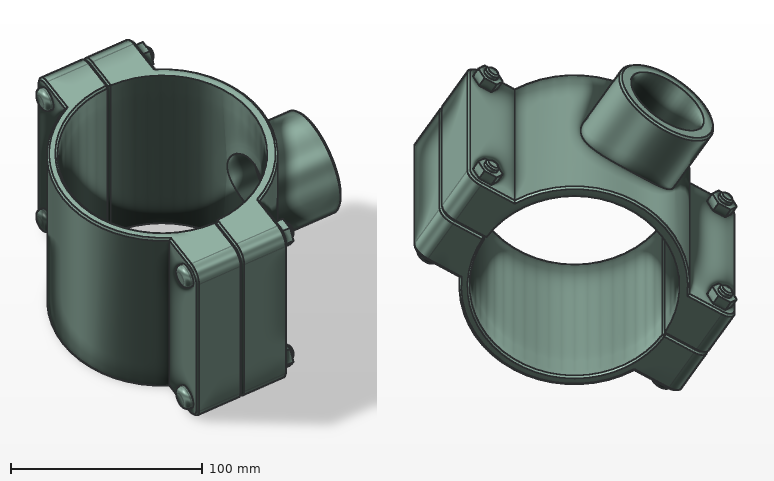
import cadquery as cq
import math

clamp_width = 165.0
clamp_height = 116.0
ring_radius = 60.4
bore_radius = 55.0
flange_depth = 27.4
corner_radius = 8.2
edge_chamfer = 1.2

branch_diameter = 58.2
branch_end = 92.0
hole_diameter = 40.0
socket_diameter = 44.9
socket_floor = 67.3

screw_x = 72.1
screw_z = 47.5
screw_diameter = 8.0
screw_tip_length = 2.8
screw_tip_chamfer = 1.0
head_diameter = 13.0
head_height = 4.3
head_round = 3.0
nut_across_flats = 13.0
nut_height = 5.5


def cylinder_y(diameter, y_start, y_end, x=0.0, z=0.0):
    """Cylinder along Y between two Y positions."""
    axis_start = cq.Vector(x, y_start, z)
    axis_direction = cq.Vector(0, 1, 0)
    cylinder = cq.Solid.makeCylinder(diameter / 2, y_end - y_start, axis_start, axis_direction)
    return cq.Workplane(cylinder)


def cylinder_z(radius):
    """Cylinder on the clamp axis over the full height."""
    return cq.Workplane("XY", origin=(0, 0, -clamp_height / 2)).circle(radius).extrude(clamp_height)


def half_body():
    """Filled +Y half: half cylinder with a flange on each side."""
    flanges = (
        cq.Workplane("XY")
        .box(clamp_width, flange_depth, clamp_height, centered=(True, False, True))
        .edges("|Y")
        .fillet(corner_radius)
    )
    back_space = cq.Workplane("XY").box(
        clamp_width, clamp_width, clamp_height, centered=(True, False, True)
    )
    return flanges.union(cylinder_z(ring_radius).intersect(back_space))


def front_half():
    """-Y half: every edge is chamfered, those of the bore too."""
    shell = half_body().cut(cylinder_z(bore_radius))
    rims = shell.edges("(not |Z) or <Y").chamfer(edge_chamfer)
    return rims.mirror("XZ")


def back_half():
    """+Y half with the branch stub: the ends of the bore stay sharp."""
    filled = half_body().edges("not |Z").chamfer(edge_chamfer)
    branch = cylinder_y(branch_diameter, 0, branch_end).faces(">Y").chamfer(edge_chamfer)
    shell = filled.union(branch).cut(cylinder_z(bore_radius))
    reach = bore_radius + edge_chamfer
    near_split = cq.selectors.BoxSelector(
        (-reach, -edge_chamfer, -clamp_height / 2), (reach, edge_chamfer, clamp_height / 2)
    )
    return shell.edges("|Z").edges(near_split).chamfer(edge_chamfer)


def screw(x, z):
    """Domed head, shank, hexagon nut and protruding tip of one screw."""
    head = (
        cylinder_y(head_diameter, -flange_depth - head_height, -flange_depth, x, z)
        .faces("<Y")
        .edges()
        .fillet(head_round)
    )
    nut_end = flange_depth + nut_height
    shank = (
        cylinder_y(screw_diameter, -flange_depth, nut_end + screw_tip_length, x, z)
        .faces(">Y")
        .chamfer(screw_tip_chamfer)
    )
    nut = (
        cq.Workplane("XZ", origin=(x, nut_end, z))
        .polygon(6, nut_across_flats / math.cos(math.pi / 6))
        .extrude(nut_height)
    )
    return head.union(shank).union(nut)


def branch_passage():
    """Stepped hole from the clamp bore out through the branch."""
    hole = cylinder_y(hole_diameter, 0, branch_end)
    return hole.union(cylinder_y(socket_diameter, socket_floor, branch_end))


result = back_half().cut(branch_passage()).union(front_half())
for x in (-screw_x, screw_x):
    for z in (-screw_z, screw_z):
        result = result.union(screw(x, z))